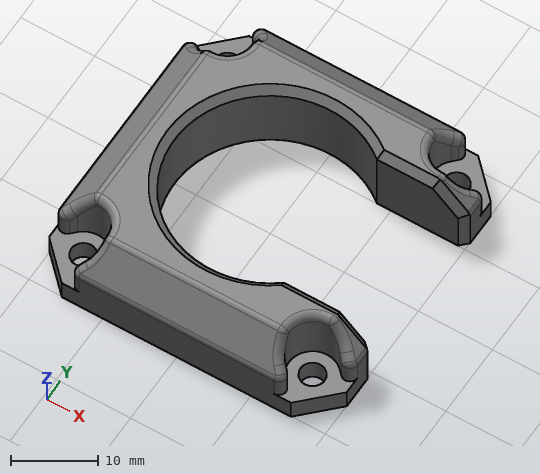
import cadquery as cq
import math

side = 40.2
height = 10.0
half_side = side / 2

plate_thickness = 2.9
slope_size = 4.0
edge_radius = 1.0

margin = 0.05

hole_diameter = 3.2
hole_offset = 15.48
corner_cut = half_side - hole_offset
recess_radius = 3.18

bore_radius = 12.9
opening_half_width = 10.0
opening_chamfer = 1.0


def square_prism(bottom, top):
    return cq.Workplane("XY").workplane(offset=bottom).rect(side, side).extrude(top - bottom)


def make_sloped_block(bottom):
    """Block up to the full height with its top edges sloped."""
    return square_prism(bottom, height).faces(">Z").edges().chamfer(slope_size)


def make_plate():
    """Flat base with its four corners cut off."""
    return square_prism(0, plate_thickness).edges("|Z").chamfer(corner_cut)


def make_recesses():
    """Four round-ended slots that run from the screw holes out through the corners."""
    slot_length = side / 2
    slot = (
        cq.Workplane("XY").circle(recess_radius).extrude(height)
        .union(cq.Workplane("XY").rect(slot_length, 2 * recess_radius).extrude(height)
               .translate((slot_length / 2, 0, 0)))
    )
    distance = hole_offset * math.sqrt(2)
    recesses = cq.Workplane("XY")
    for angle in (45, 135, 225, 315):
        placed_slot = slot.translate((distance, 0, 0)).rotate((0, 0, 0), (0, 0, 1), angle)
        recesses = recesses.add(placed_slot)
    return recesses.combine()


def make_upper_body():
    """Sloped block with recessed corners, rounded along all its upper edges and recess mouths."""
    body = make_sloped_block(plate_thickness).cut(make_recesses())
    slope_base = height - slope_size
    above_slope_base = cq.selectors.BoxSelector(
        (-side, -side, slope_base - margin),
        (side, side, height + margin),
    )
    inside_sides = cq.selectors.BoxSelector(
        (margin - half_side, margin - half_side, 0),
        (half_side - margin, half_side - margin, height),
    )
    upper_edges = body.edges(above_slope_base)
    recess_mouths = body.edges(cq.StringSyntaxSelector("|Z") - inside_sides)
    rounded_edges = upper_edges.edges("not |Z").vals() + recess_mouths.vals()
    return body.newObject(rounded_edges).fillet(edge_radius)


def make_opening():
    """Round bore joined to a straight mouth through the +X side."""
    bore = cq.Workplane("XY").circle(bore_radius).extrude(height)
    mouth = (
        cq.Workplane("XY").rect(side, 2 * opening_half_width).extrude(height)
        .translate((half_side, 0, 0))
    )
    return bore.union(mouth)


def make_chamfered_c():
    """Plain sloped C whose opening is chamfered on the top, down the slopes and down the +X ends."""
    plain_c = make_sloped_block(0).cut(make_opening())
    mouth_start = math.sqrt(bore_radius**2 - opening_half_width**2)
    reach = opening_half_width + margin
    mouth_rim = cq.selectors.BoxSelector(
        (mouth_start + margin, -reach, margin),
        (side, reach, height + margin),
    )
    mouth_edges = plain_c.faces("|Y").edges(mouth_rim)
    bore_edge = plain_c.faces(">Z").edges("%CIRCLE")
    return plain_c.newObject(mouth_edges.vals() + bore_edge.vals()).chamfer(opening_chamfer)


holes = (
    cq.Workplane("XY").rect(2 * hole_offset, 2 * hole_offset, forConstruction=True).vertices()
    .circle(hole_diameter / 2).extrude(height)
)

block = make_plate().union(make_upper_body()).cut(holes)
result = block.intersect(make_chamfered_c())